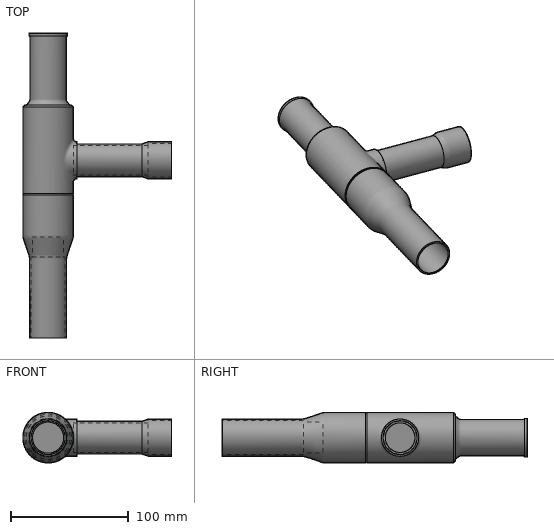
import cadquery as cq


overall_length = 259.0
cap_end = 108.0
outlet_end = cap_end - overall_length
cap_collar_length = 2.5
cap_cone_narrow_end = cap_end - 57.5
body_cap_end = cap_end - 61.1
body_groove_center = -28.8
body_groove_width = 1.5
outlet_cone_length = 16.8
outlet_cone_wide_end = -65.3
outlet_cone_narrow_end = outlet_cone_wide_end - outlet_cone_length

pipe_diameter = 31.5
cap_pipe_diameter = 31.0
collar_diameter = 33.0
collar_fillet = 0.8
cap_cone_wide_diameter = 37.0
body_diameter = 43.0
body_groove_depth = 0.3
body_cap_chamfer = 1.5
cap_cone_fillet = 2.5
outlet_shoulder_fillet = 6.5
outlet_neck_fillet = 9.0

boss_end = 24.4
boss_fillet = 2.5
overall_width = 126.5
branch_end = overall_width - body_diameter / 2
bell_cone_start = 79.8
bell_cone_end = 84.7
bell_fillet = 1.8
branch_diameter = 28.0

socket_bore = 28.8
outlet_floor_bore = 26.5
branch_bore = 25.0

select_margin = 0.13
cut_overhang = 1.3


def cylinder_along_y(diameter, start, end):
    """Cylinder on the main axis between two Y places."""
    return cq.Workplane("XZ", origin=(0, start, 0)).circle(diameter / 2).extrude(start - end)


def cylinder_along_x(diameter, start, end):
    """Cylinder on the branch axis between two X places."""
    return cq.Workplane("YZ", origin=(start, 0, 0)).circle(diameter / 2).extrude(end - start)


def fillet_circle_at(solid, diameter, place, radius):
    """Round the circular edge of the main pipe that has this diameter and Y place."""
    reach = diameter / 2 + select_margin
    low_corner = (-reach, place - select_margin, -reach)
    high_corner = (reach, place + select_margin, reach)
    circle = cq.selectors.BoxSelector(low_corner, high_corner, boundingbox=True)
    return solid.edges(circle).fillet(radius)


def make_main_pipe():
    """Outlet pipe, cone, body, short cone and collared cap pipe, turned about the Y axis."""
    pipe_radius = pipe_diameter / 2
    body_radius = body_diameter / 2
    cap_pipe_radius = cap_pipe_diameter / 2
    collar_radius = collar_diameter / 2
    collar_start = cap_end - cap_collar_length
    pipe = (
        cq.Workplane("XY")
        .moveTo(0, outlet_end)
        .lineTo(pipe_radius, outlet_end)
        .lineTo(pipe_radius, outlet_cone_narrow_end)
        .lineTo(body_radius, outlet_cone_wide_end)
        .lineTo(body_radius, body_cap_end - body_cap_chamfer)
        .lineTo(body_radius - body_cap_chamfer, body_cap_end)
        .lineTo(cap_cone_wide_diameter / 2, body_cap_end)
        .lineTo(cap_pipe_radius, cap_cone_narrow_end)
        .lineTo(cap_pipe_radius, collar_start)
        .lineTo(collar_radius, collar_start)
        .lineTo(collar_radius, cap_end)
        .lineTo(0, cap_end)
        .close()
        .revolve(360, (0, 0), (0, 1))
    )
    pipe = fillet_circle_at(pipe, pipe_diameter, outlet_cone_narrow_end, outlet_neck_fillet)
    pipe = fillet_circle_at(pipe, body_diameter, outlet_cone_wide_end, outlet_shoulder_fillet)
    pipe = fillet_circle_at(pipe, cap_pipe_diameter, cap_cone_narrow_end, cap_cone_fillet)
    return fillet_circle_at(pipe, cap_pipe_diameter, collar_start, collar_fillet)


def add_boss(pipe):
    """Round boss on the body, blended into it all around the saddle."""
    joined = pipe.union(cylinder_along_x(pipe_diameter, 0, boss_end))
    half_width = pipe_diameter / 2 + select_margin
    low_corner = (select_margin, -half_width, -half_width)
    high_corner = (boss_end - select_margin, half_width, half_width)
    saddle = cq.selectors.BoxSelector(low_corner, high_corner, boundingbox=True)
    return joined.edges(saddle).fillet(boss_fillet)


def make_body_groove():
    """Thin ring to cut from the body where its two halves meet."""
    start = body_groove_center - body_groove_width / 2
    end = start + body_groove_width
    floor_diameter = body_diameter - 2 * body_groove_depth
    ring = cylinder_along_y(body_diameter + 2 * cut_overhang, start, end)
    return ring.cut(cylinder_along_y(floor_diameter, start, end))


def make_branch():
    """Branch pipe with a conical step up to its bell end."""
    branch = (
        cq.Workplane("XY")
        .lineTo(0, branch_diameter / 2)
        .lineTo(bell_cone_start, branch_diameter / 2)
        .lineTo(bell_cone_end, pipe_diameter / 2)
        .lineTo(branch_end, pipe_diameter / 2)
        .lineTo(branch_end, 0)
        .close()
        .revolve(360, (0, 0), (1, 0))
    )
    bell_corner = cq.selectors.NearestToPointSelector((bell_cone_end, 0, 0))
    return branch.edges("%CIRCLE").edges(bell_corner).fillet(bell_fillet)


part = add_boss(make_main_pipe()).union(make_branch())

part = part.cut(make_body_groove())

part = part.cut(cylinder_along_y(socket_bore, outlet_end, outlet_cone_narrow_end))
part = part.cut(cylinder_along_y(outlet_floor_bore, outlet_cone_narrow_end, outlet_cone_wide_end))

part = part.cut(cylinder_along_x(socket_bore, bell_cone_end, branch_end))
part = part.cut(cylinder_along_x(branch_bore, body_diameter / 2, bell_cone_end))

result = part